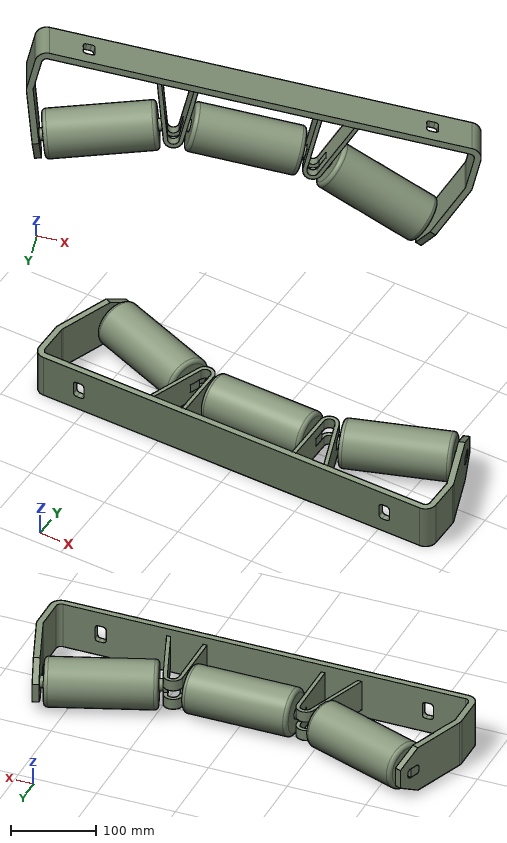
import cadquery as cq
import math

frame_length = 540.0
frame_depth = 153.03
strip_width = 60.0
frame_thickness = 8.0
frame_bend_radius = 14.0
upright_bend_y = 52.25
tilt = 20.0
tip_width = 25.0
tip_taper_length = 30.0

mount_slot_spacing = 416.0
mount_slot_width = 14.0
mount_slot_height = 22.0
mount_slot_corner_radius = 4.0

bracket_width = 40.0
bracket_thickness = 5.0
bracket_bend_radius = 12.0
bracket_bend_y = 82.0
bracket_face_x = 72.5

roller_diameter = 60.0
roller_length = 135.0
roller_edge_radius = 5.0
shaft_diameter = 15.0
shaft_end_width = 14.0
shaft_end_height = 12.0
centre_roller_y = 71.0
shaft_to_tip = 25.0
shaft_slot_length = 19.0
shaft_slot_corner_radius = 4.0

tilt_sin = math.sin(math.radians(tilt))
tilt_cos = math.cos(math.radians(tilt))
half_strip = strip_width / 2

wing_axis = cq.Vector(tilt_cos, -tilt_sin)
wing_up = cq.Vector(tilt_sin, tilt_cos)

corner_centre = cq.Vector(-frame_length / 2 + frame_bend_radius, frame_bend_radius)
flange_centre = cq.Vector(corner_centre.x, upright_bend_y)
hairpin_centre = cq.Vector(-bracket_face_x - bracket_bend_radius, bracket_bend_y)

flange_length = (frame_depth - upright_bend_y - frame_bend_radius * tilt_sin) / tilt_cos
flange_outer_tip = flange_centre - wing_axis * frame_bend_radius + wing_up * flange_length

wing_shaft_start = flange_outer_tip - wing_up * shaft_to_tip
bracket_gap = (hairpin_centre - flange_centre).dot(wing_axis)
wing_shaft_length = (
    bracket_gap + frame_bend_radius - bracket_bend_radius + bracket_thickness
)
wing_inner_span = wing_shaft_length - frame_thickness - bracket_thickness
centre_inner_span = 2 * bracket_face_x


def mirror_x(body):
    return body.mirror("YZ")


def wing_plane(origin):
    """Plane across the left wing shaft: x runs up the flange, y along +Z."""
    return cq.Plane(origin=origin.toTuple(), xDir=wing_up.toTuple(), normal=wing_axis.toTuple())


def half_frame_profile():
    """Left half of the bent strip, in the XY plane."""
    inner_radius = frame_bend_radius - frame_thickness
    mid_corner = cq.Vector(-math.sqrt(0.5), -math.sqrt(0.5))
    half_tilt = math.radians(tilt / 2)
    mid_flange = cq.Vector(-math.cos(half_tilt), math.sin(half_tilt))

    def at(centre, direction, radius):
        return (centre + direction * radius).toTuple()[:2]

    down = cq.Vector(0, -1)
    left = cq.Vector(-1, 0)
    outward = wing_axis * -1
    flange_inner_tip = flange_outer_tip + wing_axis * frame_thickness
    return (
        cq.Workplane("XY", origin=(0, 0, -half_strip))
        .moveTo(0, 0)
        .lineTo(*at(corner_centre, down, frame_bend_radius))
        .threePointArc(
            at(corner_centre, mid_corner, frame_bend_radius),
            at(corner_centre, left, frame_bend_radius),
        )
        .lineTo(*at(flange_centre, left, frame_bend_radius))
        .threePointArc(
            at(flange_centre, mid_flange, frame_bend_radius),
            at(flange_centre, outward, frame_bend_radius),
        )
        .lineTo(flange_outer_tip.x, flange_outer_tip.y)
        .lineTo(flange_inner_tip.x, flange_inner_tip.y)
        .lineTo(*at(flange_centre, outward, inner_radius))
        .threePointArc(
            at(flange_centre, mid_flange, inner_radius),
            at(flange_centre, left, inner_radius),
        )
        .lineTo(*at(corner_centre, left, inner_radius))
        .threePointArc(
            at(corner_centre, mid_corner, inner_radius),
            at(corner_centre, down, inner_radius),
        )
        .lineTo(0, frame_thickness)
        .close()
    )


def flange_tip_cutters():
    """Two wedges that taper the free end of the left flange."""
    triangle = [
        (0, tip_width / 2),
        (0, half_strip),
        (-tip_taper_length, half_strip),
    ]
    wedge = (
        cq.Workplane(wing_plane(flange_outer_tip))
        .polyline(triangle)
        .close()
        .extrude(frame_thickness)
    )
    return wedge.union(wedge.mirror("XY"))


def rounded_slot(plane, length, width, depth, corner_radius):
    """Rectangular slot along the plane's x, with rounded corners."""
    corners = cq.selectors.ParallelDirSelector(plane.zDir)
    return cq.Workplane(plane).rect(length, width).extrude(depth).edges(corners).fillet(corner_radius)


def flange_shaft_slot():
    """Slot through the left flange; the shaft rests at its lower end."""
    middle = wing_shaft_start + wing_up * (shaft_slot_length - shaft_end_width) * 0.5
    return rounded_slot(
        wing_plane(middle),
        shaft_slot_length,
        shaft_end_height,
        frame_thickness,
        shaft_slot_corner_radius,
    )


def mount_slot():
    """Upright slot through the frame base, on the left."""
    plane = cq.Plane(origin=(-mount_slot_spacing / 2, 0, 0), xDir=(0, 0, 1), normal=(0, 1, 0))
    return rounded_slot(
        plane, mount_slot_height, mount_slot_width, frame_thickness, mount_slot_corner_radius
    )


def make_frame():
    half = half_frame_profile().extrude(strip_width)
    half = half.cut(flange_tip_cutters()).cut(flange_shaft_slot()).cut(mount_slot())
    return half.union(mirror_x(half))


def shaft_end(plane, length):
    """Rectangular shaft end."""
    return cq.Workplane(plane).rect(shaft_end_width, shaft_end_height).extrude(length)


def centred_cylinder(plane, diameter, length):
    start = cq.Workplane(plane).workplane(offset=-length / 2)
    return start.circle(diameter / 2).extrude(length)


def make_roller(inner_span, plane):
    """Roller with the round part of its shaft, centred on the plane, along its normal."""
    body = centred_cylinder(plane, roller_diameter, roller_length)
    shaft = centred_cylinder(plane, shaft_diameter, inner_span)
    return body.edges().fillet(roller_edge_radius).union(shaft)


def make_wing_roller():
    """Left wing roller; its outer shaft end takes the shape of the slot it rests in."""
    inner_face = wing_shaft_start + wing_axis * frame_thickness
    middle = inner_face + wing_axis * (wing_inner_span / 2)
    bracket_face = inner_face + wing_axis * wing_inner_span
    outer_end = shaft_end(wing_plane(wing_shaft_start), frame_thickness)
    inner_end = shaft_end(wing_plane(bracket_face), bracket_thickness)
    return (
        make_roller(wing_inner_span, wing_plane(middle))
        .union(outer_end.intersect(flange_shaft_slot()))
        .union(inner_end)
    )


def make_centre_roller():
    across = cq.Plane(origin=(0, centre_roller_y, 0), xDir=(0, 1, 0), normal=(1, 0, 0))
    roller = make_roller(centre_inner_span, across)
    right_face = cq.Plane(
        origin=(bracket_face_x, centre_roller_y, 0), xDir=(0, 1, 0), normal=(1, 0, 0)
    )
    right_end = shaft_end(right_face, bracket_thickness)
    return roller.union(right_end).union(mirror_x(right_end))


def bracket_shaft_slots():
    """Open slots in both legs, running from under the shafts out through the hairpin."""
    slot_reach = frame_depth
    centre_slot = cq.Workplane("XY").box(
        bracket_bend_radius, slot_reach, shaft_end_height, centered=(False, False, True)
    )
    centre_slot = centre_slot.translate(
        (hairpin_centre.x, centre_roller_y - shaft_end_width / 2, 0)
    )
    drop_to_shaft = (hairpin_centre - wing_shaft_start).dot(wing_up) + shaft_end_width / 2
    wing_slot_corner = hairpin_centre - wing_axis * bracket_bend_radius - wing_up * drop_to_shaft
    wing_slot = cq.Workplane(wing_plane(wing_slot_corner)).box(
        slot_reach, shaft_end_height, bracket_bend_radius, centered=(False, True, False)
    )
    return centre_slot.union(wing_slot)


def make_bracket():
    """Left hairpin: a vertical leg and a leg parallel to the flange."""
    inner_radius = bracket_bend_radius - bracket_thickness
    half_sweep = math.radians(tilt / 2)
    crown = cq.Vector(math.sin(half_sweep), math.cos(half_sweep))

    def on_bend(direction, radius):
        return (hairpin_centre + direction * radius).toTuple()[:2]

    def leg_foot(radius):
        """Point of the slanted leg on the frame base."""
        start = hairpin_centre - wing_axis * radius
        drop = (start.y - frame_thickness) / tilt_cos
        return (start - wing_up * drop).toTuple()[:2]

    right = cq.Vector(1, 0)
    outward = wing_axis * -1
    return (
        cq.Workplane("XY", origin=(0, 0, -bracket_width / 2))
        .moveTo(hairpin_centre.x + bracket_bend_radius, frame_thickness)
        .lineTo(*on_bend(right, bracket_bend_radius))
        .threePointArc(on_bend(crown, bracket_bend_radius), on_bend(outward, bracket_bend_radius))
        .lineTo(*leg_foot(bracket_bend_radius))
        .lineTo(*leg_foot(inner_radius))
        .lineTo(*on_bend(outward, inner_radius))
        .threePointArc(on_bend(crown, inner_radius), on_bend(right, inner_radius))
        .lineTo(hairpin_centre.x + inner_radius, frame_thickness)
        .close()
        .extrude(bracket_width)
    )


frame = make_frame()
centre_roller = make_centre_roller()
left_roller = make_wing_roller()
left_bracket = make_bracket().cut(bracket_shaft_slots())

result = cq.Compound.makeCompound(
    [
        frame.val(),
        left_bracket.val(),
        mirror_x(left_bracket).val(),
        centre_roller.val(),
        left_roller.val(),
        mirror_x(left_roller).val(),
    ]
)